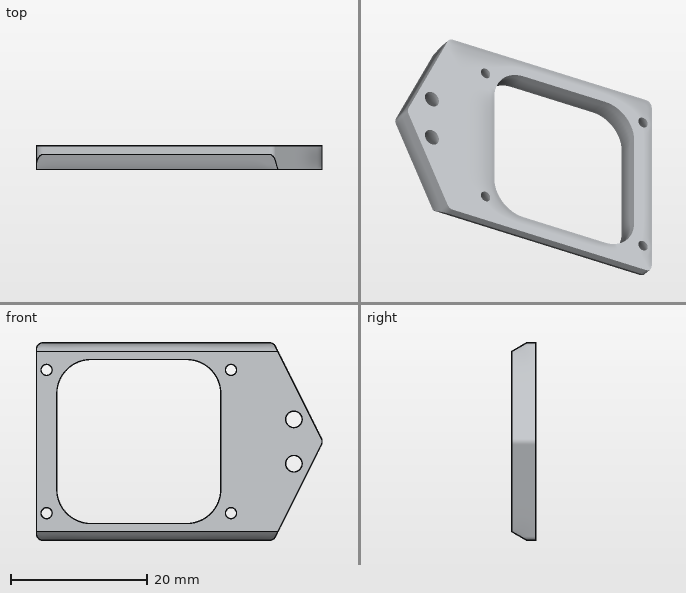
import cadquery as cq
import math

length = 41.9
thickness = 3.5
height = 29.0
corner_radius = 1.0

nose_slope = 2.0
tip_half_angle = math.atan(nose_slope)
tip_setback = corner_radius * (1 / math.sin(tip_half_angle) - 1)
sharp_tip_x = length + tip_setback
shoulder_x = sharp_tip_x - height / 2 / nose_slope

bevel_depth = 2.2
bevel_angle = math.radians(30)
bevel_height = bevel_depth * math.tan(bevel_angle)

window_size = 24.0
window_left = 3.0
window_radius = 5.0

screw_diameter = 1.6
screw_left = 1.5
screw_pitch_x = 27.0
screw_pitch_z = 21.0
nose_hole_diameter = 2.4
nose_hole_x = 37.75
nose_hole_pitch = 6.5


def through_holes(points, diameter):
    """Cylinders along Y at the given (x, z) points."""
    return cq.Workplane("XZ").pushPoints(points).circle(diameter / 2).extrude(-thickness)


def edge_bevel(side):
    """Wedge along the front edge at the top (side=1) or bottom (side=-1)."""
    edge_z = side * height / 2
    return (
        cq.Workplane("YZ")
        .moveTo(0, edge_z)
        .lineTo(bevel_depth, edge_z)
        .lineTo(0, edge_z - side * bevel_height)
        .close()
        .extrude(length)
    )


plate = (
    cq.Workplane("XZ")
    .moveTo(0, -height / 2)
    .lineTo(shoulder_x, -height / 2)
    .lineTo(sharp_tip_x, 0)
    .lineTo(shoulder_x, height / 2)
    .lineTo(0, height / 2)
    .close()
    .extrude(-thickness)
    .edges("|Y")
    .fillet(corner_radius)
)

for side in (1, -1):
    plate = plate.cut(edge_bevel(side))

window = (
    cq.Workplane("XZ")
    .center(window_left + window_size / 2, 0)
    .rect(window_size, window_size)
    .extrude(-thickness)
    .edges("|Y")
    .fillet(window_radius)
)

screw_points = [
    (x, z)
    for x in (screw_left, screw_left + screw_pitch_x)
    for z in (-screw_pitch_z / 2, screw_pitch_z / 2)
]
nose_points = [(nose_hole_x, z) for z in (-nose_hole_pitch / 2, nose_hole_pitch / 2)]

result = (
    plate.cut(window)
    .cut(through_holes(screw_points, screw_diameter))
    .cut(through_holes(nose_points, nose_hole_diameter))
)